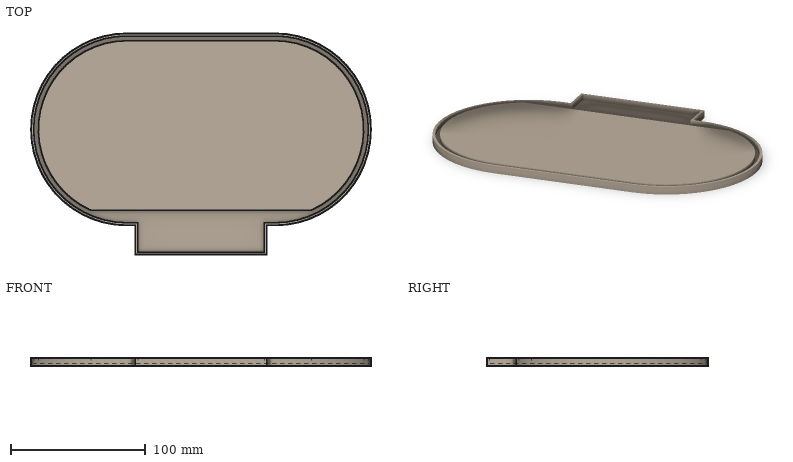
import cadquery as cq

length = 252.3
depth = 164.2
height = 6.0

body_depth = 142.5
tab_width = 98.0
wall = 2.0
floor = 2.0

platform_inset = 5.5
platform_top = height
platform_front_inset = 11.4

tab_end = body_depth / 2 - depth
platform_front = platform_front_inset - body_depth / 2


def stadium(inset, thickness):
    """Plate with full-round ends, inset from the body outline."""
    return cq.Workplane("XY").slot2D(length - 2 * inset, body_depth - 2 * inset).extrude(thickness)


def tab(inset, thickness):
    """Plate from the body centre line to the tab end, inset on its outer edges."""
    reach = -tab_end - inset
    return (
        cq.Workplane("XY")
        .rect(tab_width - 2 * inset, reach)
        .extrude(thickness)
        .translate((0, -reach / 2, 0))
    )


def footprint(inset, thickness):
    """Stadium and tab joined into one plate."""
    return stadium(inset, thickness).union(tab(inset, thickness))


cavity = footprint(wall, height).translate((0, 0, floor))
tray = footprint(0, height).cut(cavity)

front_cutter = (
    cq.Workplane("XY")
    .rect(length, depth)
    .extrude(height)
    .translate((0, platform_front - depth / 2, 0))
)
platform = stadium(platform_inset, platform_top).cut(front_cutter)

result = tray.union(platform)